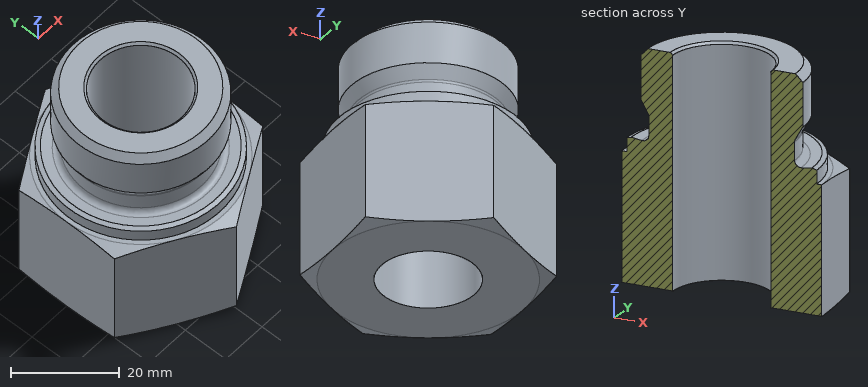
import cadquery as cq
import math

across_flats = 41.0
hex_height = 26.0
hex_chamfer_angle = 15.0

collar_diameter = 39.0
collar_top = 29.0
rim_diameter = 37.0
rim_outer_angle = 15.0
seal_face_angle = 8.0

neck_diameter = 29.9
neck_root_radius = 1.2
neck_top_radius = 1.0

total_height = 47.0
stud_diameter = 33.25
stud_bottom = 36.7
stud_chamfer = 1.5
runout_angle = 30.0

bore_diameter = 20.0
bore_chamfer = 0.5


def make_hex_body():
    """Hexagon with two corners on the Y axis and conically turned ends."""
    corner_diameter = across_flats / math.cos(math.radians(30))
    flat_radius = across_flats / 2
    corner_radius = corner_diameter / 2
    corner_drop = (corner_radius - flat_radius) * math.tan(math.radians(hex_chamfer_angle))

    prism = (
        cq.Workplane("XY")
        .polygon(6, corner_diameter)
        .extrude(hex_height)
        .rotate((0, 0, 0), (0, 0, 1), 30)
    )
    turned_envelope = (
        cq.Workplane("XZ")
        .moveTo(0, 0)
        .lineTo(flat_radius, 0)
        .lineTo(corner_radius, corner_drop)
        .lineTo(corner_radius, hex_height - corner_drop)
        .lineTo(flat_radius, hex_height)
        .lineTo(0, hex_height)
        .close()
        .revolve(360, (0, 0, 0), (0, 1, 0))
    )
    return prism.intersect(turned_envelope)


def make_turned_end():
    """Collar, filleted neck and chamfered stud, revolved about Z."""
    collar_radius = collar_diameter / 2
    rim_radius = rim_diameter / 2
    neck_radius = neck_diameter / 2
    stud_radius = stud_diameter / 2

    rim_outer_drop = (collar_radius - rim_radius) * math.tan(math.radians(rim_outer_angle))
    seal_face_drop = (rim_radius - neck_radius) * math.tan(math.radians(seal_face_angle))
    neck_bottom = collar_top - seal_face_drop
    runout_height = (stud_radius - neck_radius) / math.tan(math.radians(runout_angle))
    neck_top = stud_bottom - runout_height

    turned = (
        cq.Workplane("XZ")
        .moveTo(0, hex_height)
        .lineTo(collar_radius, hex_height)
        .lineTo(collar_radius, collar_top - rim_outer_drop)
        .lineTo(rim_radius, collar_top)
        .lineTo(neck_radius, neck_bottom)
        .lineTo(neck_radius, neck_top)
        .lineTo(stud_radius, stud_bottom)
        .lineTo(stud_radius, total_height - stud_chamfer)
        .lineTo(stud_radius - stud_chamfer, total_height)
        .lineTo(0, total_height)
        .close()
        .revolve(360, (0, 0, 0), (0, 1, 0))
    )
    turned = fillet_circle(turned, neck_radius, neck_bottom, neck_root_radius)
    return fillet_circle(turned, neck_radius, neck_top, neck_top_radius)


def fillet_circle(body, circle_radius, height, fillet_radius):
    """Fillet the circular edge of the given radius and height about Z."""
    margin = 0.05
    reach = circle_radius + margin
    corner_low = (-reach, -reach, height - margin)
    corner_high = (reach, reach, height + margin)
    edge = cq.selectors.BoxSelector(corner_low, corner_high, boundingbox=True)
    return body.edges(edge).fillet(fillet_radius)


def make_bore():
    """Through bore, widened by a chamfer at the stud end."""
    bore_radius = bore_diameter / 2
    return (
        cq.Workplane("XZ")
        .moveTo(0, 0)
        .lineTo(bore_radius, 0)
        .lineTo(bore_radius, total_height - bore_chamfer)
        .lineTo(bore_radius + bore_chamfer, total_height)
        .lineTo(0, total_height)
        .close()
        .revolve(360, (0, 0, 0), (0, 1, 0))
    )


result = make_hex_body().union(make_turned_end()).cut(make_bore())